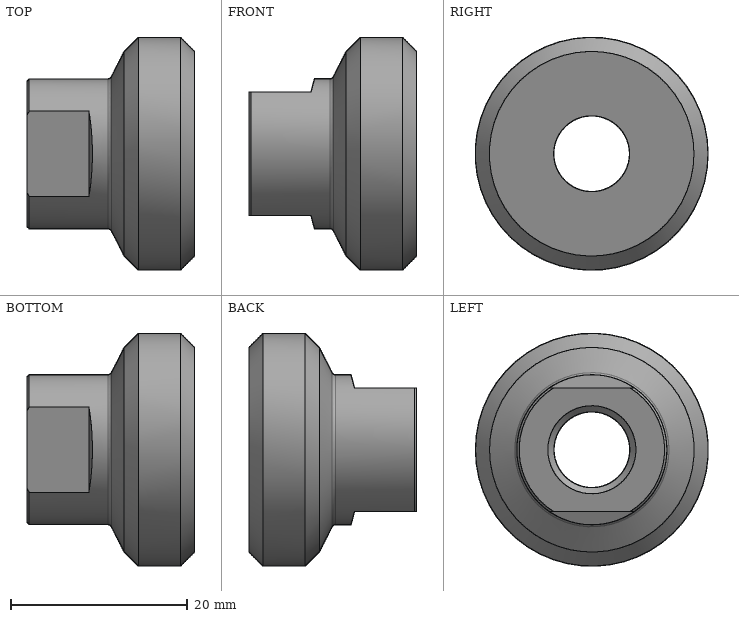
import cadquery as cq
import math

total_length = 19.0
flange_diameter = 26.4
flange_bevel = 1.6
rim_width = 4.78
shank_diameter = 17.0
shank_length = 9.45
shank_chamfer = 0.26
neck_fillet = 0.42
bore_diameter = 8.55
bore_mouth_diameter = 9.98
flat_distance = 14.0
flat_length = 7.02
flat_end_angle = 15.0

flange_radius = flange_diameter / 2
shank_radius = shank_diameter / 2
bevel_radius = flange_radius - flange_bevel
rim_end = total_length - flange_bevel
rim_start = rim_end - rim_width
cone_end = rim_start - flange_bevel


def turned_body():
    """Shank, cone and bevelled flange, with a fillet at the neck."""
    body = (
        cq.Workplane("XY")
        .lineTo(0, shank_radius - shank_chamfer)
        .lineTo(shank_chamfer, shank_radius)
        .lineTo(shank_length, shank_radius)
        .lineTo(cone_end, bevel_radius)
        .lineTo(rim_start, flange_radius)
        .lineTo(rim_end, flange_radius)
        .lineTo(total_length, bevel_radius)
        .lineTo(total_length, 0)
        .close()
        .revolve(360, (0, 0, 0), (1, 0, 0))
    )
    neck_edge = cq.selectors.BoxSelector(
        (shank_length - neck_fillet, -flange_radius, -flange_radius),
        (shank_length + neck_fillet, flange_radius, flange_radius),
    )
    return body.edges("%CIRCLE").edges(neck_edge).fillet(neck_fillet)


def bore():
    """Through bore with a 45 degree countersink at the shank end."""
    bore_radius = bore_diameter / 2
    mouth_radius = bore_mouth_diameter / 2
    return (
        cq.Workplane("XY")
        .lineTo(0, mouth_radius)
        .lineTo(mouth_radius - bore_radius, bore_radius)
        .lineTo(total_length, bore_radius)
        .lineTo(total_length, 0)
        .close()
        .revolve(360, (0, 0, 0), (1, 0, 0))
    )


def flat_cut():
    """Material removed above the upper wrench flat, with a leaning shoulder."""
    flat_height = flat_distance / 2
    shoulder_lean = (shank_radius - flat_height) * math.tan(math.radians(flat_end_angle))
    return (
        cq.Workplane("XZ")
        .moveTo(0, flat_height)
        .lineTo(flat_length, flat_height)
        .lineTo(flat_length + shoulder_lean, shank_radius)
        .lineTo(0, shank_radius)
        .close()
        .extrude(shank_radius, both=True)
    )


upper_flat = flat_cut()
lower_flat = upper_flat.mirror("XY")
result = turned_body().cut(bore()).cut(upper_flat).cut(lower_flat)